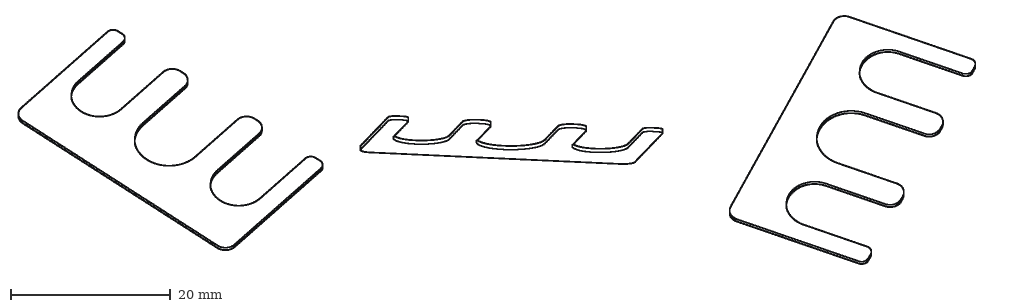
import cadquery as cq

length = 35.05
width = 19.05
thickness = 0.5
base_corner_radius = 1.5

slot_centre_height = 9.45
middle_slot_width = 8.62
side_slot_width = 7.08
side_slot_offset = 11.43

outer_tip_radius = 0.9
inner_tip_radius = 1.5

inner_finger_start = middle_slot_width / 2
inner_finger_end = side_slot_offset - side_slot_width / 2
outer_finger_start = side_slot_offset + side_slot_width / 2
outer_finger_end = length / 2

rear_y = -width / 2
tip_y = width / 2
slot_centre_y = rear_y + slot_centre_height


def open_slot(centre_x, slot_width):
    """Cutter with a round closed end, running out through the finger tips."""
    radius = slot_width / 2
    return (
        cq.Workplane("XY")
        .moveTo(centre_x - radius, tip_y)
        .lineTo(centre_x - radius, slot_centre_y)
        .threePointArc((centre_x, slot_centre_y - radius), (centre_x + radius, slot_centre_y))
        .lineTo(centre_x + radius, tip_y)
        .close()
        .extrude(thickness)
    )


def round_corners(body, x_positions, y, radius):
    """Round the upright edges at the given distances on both sides of centre."""
    points = [(side * x, y, thickness / 2) for x in x_positions for side in (-1, 1)]
    for point in points:
        body = body.edges(cq.selectors.NearestToPointSelector(point)).fillet(radius)
    return body


result = cq.Workplane("XY").box(length, width, thickness, centered=(True, True, False))

result = result.cut(open_slot(0, middle_slot_width))
for side in (-1, 1):
    result = result.cut(open_slot(side * side_slot_offset, side_slot_width))

result = round_corners(result, (outer_finger_end,), rear_y, base_corner_radius)
result = round_corners(result, (outer_finger_start, outer_finger_end), tip_y, outer_tip_radius)
result = round_corners(result, (inner_finger_start, inner_finger_end), tip_y, inner_tip_radius)